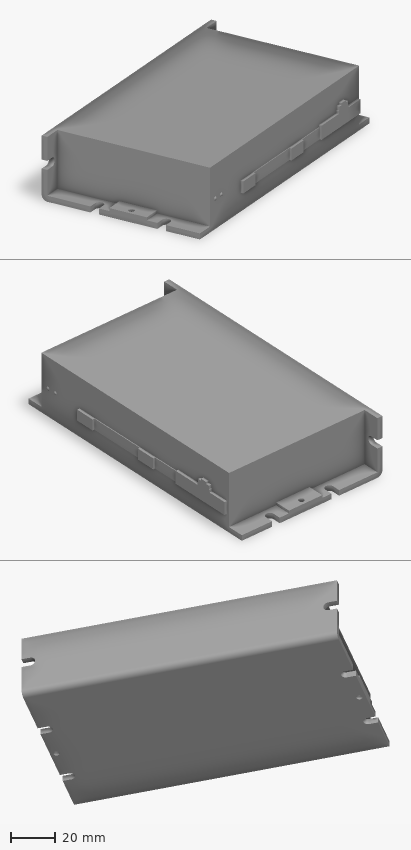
import cadquery as cq

length = 148.0
width = 83.0
height = 32.0
wall = 3.0
bend_radius = 3.0
end_flange = 8.9

slot_width = 4.5
slot_depth = 6.4
base_slot_centers = (27.8, 62.9)
side_slot_height = 17.9

pad_width = 19.7
pad_height = 1.5
pad_center = sum(base_slot_centers) / 2
pad_hole_diameter = 3.0
pad_hole_inset = 3.0

connector_depth = 1.5
connector_bottom = 9.3
large_connector_length = 33.9
large_connector_center = 120.8
large_connector_top = 16.3
small_connector_length = 10.7
small_connector_centers = (82.9, 40.8)
small_connector_top = 15.2
key_center = 123.1
key_tiers = ((8.3, 17.8), (7.4, 19.7), (3.5, 20.7))

plate_depth = 0.5
light_diameter = 1.9
light_depth = 0.52
light_height = 15.1
light_centers = (18.6, 13.5)


def box(x_range, y_range, z_range):
    """Axis-aligned box between the given limits."""
    (x0, x1), (y0, y1), (z0, z1) = x_range, y_range, z_range
    return cq.Workplane("XY").box(x1 - x0, y1 - y0, z1 - z0, centered=False).translate((x0, y0, z0))


def end_slot_pair(plane, center):
    """Solid cutter for a pair of round-ended slots, one entering from each end of the part."""
    radius = slot_width / 2
    straight = slot_depth - radius
    cutter = plane.center(center, 0).moveTo(-radius, 0).lineTo(-radius, straight)
    cutter = cutter.threePointArc((0, slot_depth), (radius, straight)).lineTo(radius, 0).close()
    cutter = cutter.extrude(wall)
    return cutter.union(cutter.mirror("XZ", (0, length / 2, 0)))


def make_bracket():
    """L-shaped bracket with a rounded bend and end slots in both legs."""
    base = box((0, width), (0, length), (0, wall))
    side = box((0, wall), (0, length), (0, height))
    bracket = base.union(side).edges("|Y and <X and <Z").fillet(bend_radius)
    for x in base_slot_centers:
        bracket = bracket.cut(end_slot_pair(cq.Workplane("XY"), x))
    side_plane = cq.Workplane(cq.Plane(origin=(wall, 0, 0), xDir=(0, 0, 1), normal=(-1, 0, 0)))
    return bracket.cut(end_slot_pair(side_plane, side_slot_height))


def make_pads():
    """Raised strip under the housing, exposed as a pad at each end."""
    pad_x = (pad_center - pad_width / 2, pad_center + pad_width / 2)
    return box(pad_x, (0, length), (wall, wall + pad_height))


def make_pad_holes():
    """Drill cutters, one through the pad and base at each end."""
    hole_points = [(pad_center, pad_hole_inset), (pad_center, length - pad_hole_inset)]
    return cq.Workplane("XY").pushPoints(hole_points).circle(pad_hole_diameter / 2).extrude(wall + pad_height)


def connector_block(center, size, top, depth=connector_depth):
    """Block standing out from the +X face, on the common connector base line."""
    y_range = (center - size / 2, center + size / 2)
    return box((width, width + depth), y_range, (connector_bottom, top))


def make_connectors():
    """Keyed large connector, two small ones and the thin plate between them."""
    blocks = connector_block(large_connector_center, large_connector_length, large_connector_top)
    for size, top in key_tiers:
        blocks = blocks.union(connector_block(key_center, size, top))
    for center in small_connector_centers:
        blocks = blocks.union(connector_block(center, small_connector_length, small_connector_top))
    plate_start = min(small_connector_centers)
    plate_length = large_connector_center - plate_start
    plate = connector_block(plate_start + plate_length / 2, plate_length, small_connector_top, plate_depth)
    return blocks.union(plate)


def make_lights():
    """Small domed indicator lights, each a spherical cap on the +X face."""
    base_radius = light_diameter / 2
    sphere_radius = (base_radius**2 + light_depth**2) / (2 * light_depth)
    points = [(y, light_height) for y in light_centers]
    face = cq.Workplane("YZ", origin=(width + light_depth - sphere_radius, 0, 0))
    spheres = face.pushPoints(points).sphere(sphere_radius)
    outside = box((width, width + connector_depth), (0, length), (0, height))
    return spheres.intersect(outside)


housing = box((wall, width), (end_flange, length - end_flange), (wall, height))
result = make_bracket().union(make_pads()).cut(make_pad_holes()).union(housing)
result = result.union(make_connectors()).union(make_lights())